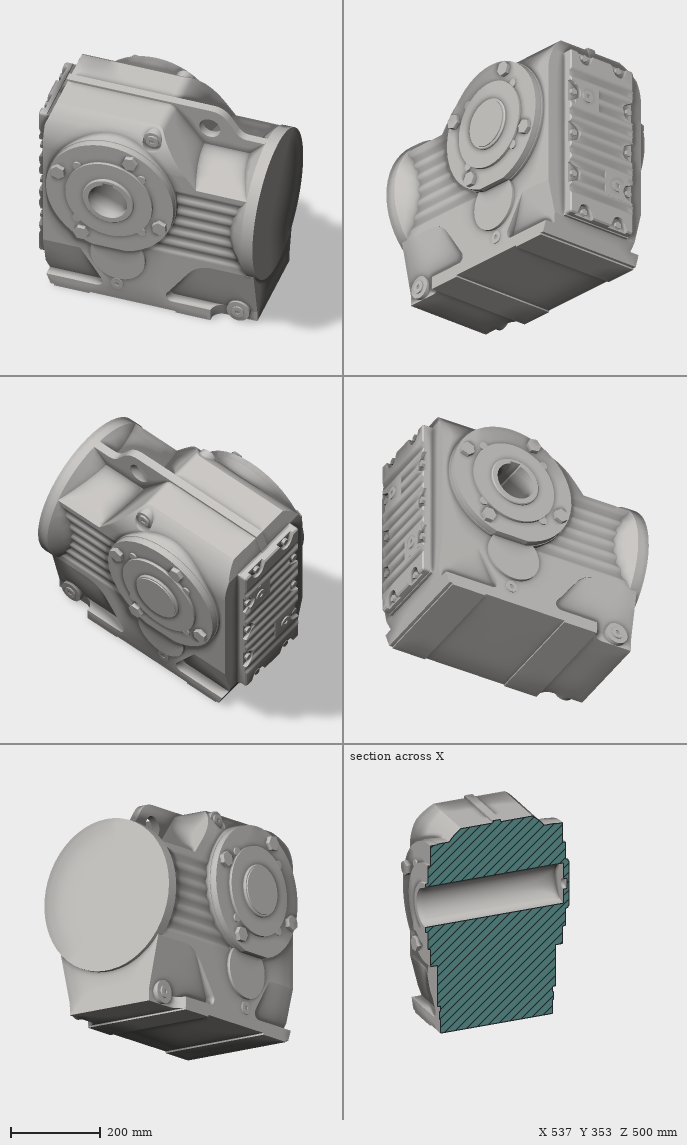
import cadquery as cq
import math


overlap = 1.0

half_width = 137.5
housing_left = -166.0
housing_top = 179.5
housing_bottom = -311.0
left_edge_top = 140.5
left_edge_bottom = -263.5
top_corner_x = -151.0
bottom_corner_x = -148.0
shoulder_top_x = 99.0
shoulder_bottom = (196.0, 56.0)
shoulder_radius = 24.0
arch_radius = 110.0
arch_start_z = 87.0
base_right = 332.0
base_top = -162.0

flange_axis_z = -52.0
flange_radius = 175.0
flange_face = 342.0
flange_back = 315.0
cone_length = 60.0
roof_crown = 87.0
roof_edge = 56.0

rib_pitch = 31.85
neck_rib_depth = 4.0
neck_rib_top = 44.0
neck_rib_count = 6
neck_rib_left = 66.0
rib_backing = 12.0

web_thickness = 20.0
web_top = 185.0
web_low = 123.0
web_left_end = -154.0
web_left_shoulder = (-168.5, 143.5)
web_crest_x = 213.0
web_crest_radius = 47.0
web_valley_x = 257.0
web_valley_radius = 31.0
eye_center = (185.0, 134.5)
eye_radius = 25.0

foot_bottom = -315.0
foot_spans = [(-140.0, -56.5), (147.0, 230.0)]
pocket_bottom = -285.0
left_pocket_depth = 24.5
right_pocket_depth = 26.5
pocket_corner_radius = 14.0
left_pocket_top = -187.0
left_pocket_top_x = -78.0
left_pocket_tip_x = -13.0
right_pocket_top_x = 199.0
right_pocket_top_radius = 70.0
right_pocket_tip_x = 112.0

collar_radius = 152.0
collar_face = 145.0
cover_radius = 150.5
collar_flat_z = -145.0
cover_face = 162.0
disc_radius = 102.5
disc_face = 169.0
stud_circle_radius = 107.5
stud_radius = 10.0
stud_face = 166.0
bolt_circle_radius = 130.0
bolt_angles = [67.5, 157.5, -22.5, 240.0]
bolt_across_corners = 35.0
bolt_face = 173.0
shaft_radius = 60.0
shaft_face = 175.0
shaft_chamfer = 2.0
bore_radius = 46.0
key_width = 25.0
key_top = 51.0
cap_radius = 55.0
cap_face = 178.0
cap_thickness = 15.0
center_hole_radius = 12.0
center_hole_depth = 8.0

blank_center = (13.0, -182.0)
blank_radius = 64.5
blank_face = 145.0
plug_radius = 14.5
plug_socket_corners = 12.0
plug_socket_depth = 3.0
upper_plug = (85.0, 153.0)
upper_boss_radius = 22.0
upper_boss_face = 113.5
upper_plug_face = 118.0
lower_plug = (10.0, -267.0)
lower_plug_face = 140.0
foot_plug = (290.0, -284.0)
foot_boss_radius = 26.5
foot_boss_face = 123.0
foot_plug_face = 126.5

gasket_left = -172.5
gear_cover_face = -192.0
gear_cover_half_width = 93.5
gasket_half_width = 92.5
gear_cover_top = 143.5
gear_cover_bottom = -261.0
gear_cover_corner = 6.0
gear_cover_chamfer = 3.5
cover_rib_depth = 5.0
cover_rib_top = 101.0
cover_rib_count = 10
lug_floor = -182.0
lug_radius = 18.0
lug_edge_distance = 11.0
lug_edge_half_width = 25.0
cover_bolt_corners = 17.0
cover_bolt_face = -189.5
end_bolt_y = 50.0
side_bolt_y = 81.0
side_bolt_rows = [41.0, -60.5, -162.0]
pad_width = 68.0
pad_height = 64.5
pad_center_y = 44.0
pad_center_rows = [38.0, -156.0]
cover_plug_face = -195.0


def y_cylinder(center, radius, y_start, y_end):
    """Cylinder along Y, centred on (x, z)."""
    plane = cq.Workplane("XZ", origin=(0, y_start, 0))
    return plane.center(*center).circle(radius).extrude(y_start - y_end)


def y_prism(outline, y_start, y_end):
    """Closed XZ polygon extruded along Y."""
    return cq.Workplane("XZ", origin=(0, y_start, 0)).polyline(outline).close().extrude(y_start - y_end)


def y_hexagon(center, corners, y_start, y_end, turn=0.0):
    """Hexagonal prism along Y with its corners turned by an angle in degrees."""
    points = []
    for i in range(6):
        angle = math.radians(turn + 60 * i)
        x = center[0] + corners / 2 * math.cos(angle)
        z = center[1] + corners / 2 * math.sin(angle)
        points.append((x, z))
    return y_prism(points, y_start, y_end)


def both_sides(shape):
    return shape.union(shape.mirror("XZ"))


def wave(sketch, crest, depth, z_top, count):
    """Continue a sketch downward from a crest along tangent arcs; depth is signed along local x."""
    quarter = rib_pitch / 4
    half = depth / 2
    radius = (quarter ** 2 + half ** 2) / abs(2 * half)
    sag = math.copysign(radius - math.sqrt(radius ** 2 - (quarter / 2) ** 2), depth)
    for i in range(count):
        z = z_top - i * rib_pitch
        sketch = (
            sketch
            .threePointArc((crest + sag, z - quarter / 2), (crest + half, z - quarter))
            .threePointArc((crest + depth, z - 2 * quarter), (crest + half, z - 3 * quarter))
            .threePointArc((crest + sag, z - 3.5 * quarter), (crest, z - 4 * quarter))
        )
    return sketch


def gear_case():
    """Arched main case with its sloped ends."""
    profile = y_prism(
        [
            (housing_left, left_edge_bottom),
            (housing_left, left_edge_top),
            (top_corner_x, housing_top),
            (shoulder_top_x, housing_top),
            shoulder_bottom,
            (shoulder_bottom[0], housing_bottom),
            (bottom_corner_x, housing_bottom),
        ],
        -half_width,
        half_width,
    )
    profile = profile.edges(
        cq.selectors.NearestToPointSelector((shoulder_top_x, 0, housing_top))
    ).fillet(shoulder_radius)
    arch_center_y = half_width - arch_radius
    rise = housing_top - arch_start_z
    top_half = arch_center_y + math.sqrt(arch_radius ** 2 - rise ** 2)
    mid_angle = math.asin(rise / arch_radius) / 2
    mid_y = arch_center_y + arch_radius * math.cos(mid_angle)
    mid_z = arch_start_z + arch_radius * math.sin(mid_angle)
    section = (
        cq.Workplane("YZ", origin=(housing_left, 0, 0))
        .moveTo(-half_width, housing_bottom)
        .lineTo(half_width, housing_bottom)
        .lineTo(half_width, arch_start_z)
        .threePointArc((mid_y, mid_z), (top_half, housing_top))
        .lineTo(-top_half, housing_top)
        .threePointArc((-mid_y, mid_z), (-half_width, arch_start_z))
        .close()
        .extrude(base_right - housing_left)
    )
    return profile.intersect(section)


def neck():
    """Input neck with a slightly domed roof, and the base block below it."""
    roofed = (
        cq.Workplane("YZ")
        .moveTo(-half_width, housing_bottom)
        .lineTo(half_width, housing_bottom)
        .lineTo(half_width, roof_edge)
        .threePointArc((0, roof_crown), (-half_width, roof_edge))
        .close()
        .extrude(flange_back)
    )
    base = y_prism(
        [(0, housing_bottom), (base_right, housing_bottom), (base_right, base_top), (0, base_top)],
        -half_width,
        half_width,
    )
    return roofed.union(base)


def neck_ribs():
    """Ribbed side layer of the neck on the +Y side."""
    inner = half_width - rib_backing
    sketch = cq.Workplane("YZ", origin=(neck_rib_left, 0, 0)).moveTo(inner, neck_rib_top)
    sketch = sketch.lineTo(half_width, neck_rib_top)
    sketch = wave(sketch, half_width, -neck_rib_depth, neck_rib_top, neck_rib_count)
    bottom = neck_rib_top - neck_rib_count * rib_pitch
    return sketch.lineTo(inner, bottom).close().extrude(flange_back - neck_rib_left)


def neck_rib_space():
    """Room cleared in the +Y side for the ribbed layer."""
    height = neck_rib_count * rib_pitch
    return cq.Workplane("XY").box(
        flange_back - neck_rib_left, rib_backing, height, centered=False
    ).translate((neck_rib_left, half_width - rib_backing, neck_rib_top - height))


def input_flange():
    """Round flange with a 45 degree cone behind it."""
    return (
        cq.Workplane("XZ")
        .polyline([
            (flange_back - cone_length, 0),
            (flange_back - cone_length, flange_radius - cone_length),
            (flange_back, flange_radius),
            (flange_face, flange_radius),
            (flange_face, 0),
        ])
        .close()
        .revolve(360, (0, 0, 0), (1, 0, 0))
        .translate((0, 0, flange_axis_z))
    )


def lifting_web():
    """Central web on top of the housing, with the lifting eye."""
    crest_corner = (web_crest_x, web_top)
    valley_corner = (web_valley_x, web_low)
    web = y_prism(
        [
            (top_corner_x, 0),
            (gasket_left, left_edge_top),
            web_left_shoulder,
            (web_left_end, web_top),
            crest_corner,
            valley_corner,
            (flange_back, web_low),
            (flange_back, 0),
        ],
        -web_thickness / 2,
        web_thickness / 2,
    )
    for corner, radius in [(crest_corner, web_crest_radius), (valley_corner, web_valley_radius)]:
        near = cq.selectors.NearestToPointSelector((corner[0], 0, corner[1]))
        web = web.edges("|Y").edges(near).fillet(radius)
    return web.cut(y_cylinder(eye_center, eye_radius, -web_thickness, web_thickness))


def feet():
    height = housing_bottom - foot_bottom + overlap
    pads = cq.Workplane("XY")
    for x_start, x_end in foot_spans:
        pads = pads.union(
            cq.Workplane("XY")
            .box(x_end - x_start, 2 * half_width, height, centered=(False, True, False))
            .translate((x_start, 0, foot_bottom))
        )
    return pads


def pocket_wedge(x_start, x_end, z_top, depth):
    """Sloped-floor wedge cut into the +Y side, deepest at its lower edge."""
    return (
        cq.Workplane("YZ", origin=(x_start, 0, 0))
        .polyline([
            (half_width, z_top),
            (half_width - depth, pocket_bottom),
            (half_width + overlap, pocket_bottom),
            (half_width + overlap, z_top),
        ])
        .close()
        .extrude(x_end - x_start)
    )


def left_pocket():
    corner = (left_pocket_tip_x, pocket_bottom)
    outline = y_prism(
        [
            (housing_left - overlap, pocket_bottom),
            (housing_left - overlap, left_pocket_top),
            (left_pocket_top_x, left_pocket_top),
            corner,
        ],
        0,
        2 * half_width,
    )
    near = cq.selectors.NearestToPointSelector((corner[0], half_width, corner[1]))
    outline = outline.edges("|Y").edges(near).fillet(pocket_corner_radius)
    return outline.intersect(pocket_wedge(housing_left - overlap, 0, left_pocket_top, left_pocket_depth))


def right_pocket():
    upper_corner = (right_pocket_top_x, base_top)
    lower_corner = (right_pocket_tip_x, pocket_bottom)
    outline = y_prism(
        [(base_right, pocket_bottom), (base_right, base_top), upper_corner, lower_corner],
        0,
        2 * half_width,
    )
    for corner, radius in [(upper_corner, right_pocket_top_radius), (lower_corner, pocket_corner_radius)]:
        near = cq.selectors.NearestToPointSelector((corner[0], half_width, corner[1]))
        outline = outline.edges("|Y").edges(near).fillet(radius)
    return outline.intersect(pocket_wedge(lower_corner[0], base_right, base_top, right_pocket_depth))


def foot_end_recess():
    """Recess of the base beyond the right foot, blended into the foot end."""
    foot_end = foot_spans[1][1]
    floor = half_width - right_pocket_depth
    recess = y_prism(
        [
            (foot_end, foot_bottom),
            (foot_end, pocket_bottom),
            (base_right, pocket_bottom),
            (base_right, foot_bottom),
        ],
        floor,
        2 * half_width,
    )
    near = cq.selectors.NearestToPointSelector((foot_end, floor, (foot_bottom + pocket_bottom) / 2))
    return recess.edges(near).fillet(right_pocket_depth)


def bearing_cover():
    """Bearing cover on the -Y side: collar, disc, studs and hexagon bolts."""
    flat_cut = cq.Workplane("XY").box(
        2 * collar_radius, 2 * cover_face, collar_radius, centered=(True, True, False)
    ).translate((0, 0, collar_flat_z - collar_radius))
    collar = y_cylinder((0, 0), collar_radius, 0, -collar_face)
    cover = collar.union(y_cylinder((0, 0), cover_radius, 0, -cover_face)).cut(flat_cut)
    cover = cover.union(y_cylinder((0, 0), disc_radius, -cover_face + overlap, -disc_face))
    for i in range(4):
        angle = math.radians(45 + 90 * i)
        center = (stud_circle_radius * math.cos(angle), stud_circle_radius * math.sin(angle))
        cover = cover.union(y_cylinder(center, stud_radius, -cover_face + overlap, -stud_face))
    for degrees in bolt_angles:
        angle = math.radians(degrees)
        center = (bolt_circle_radius * math.cos(angle), bolt_circle_radius * math.sin(angle))
        bolt = y_hexagon(center, bolt_across_corners, -cover_face + overlap, -bolt_face, degrees)
        cover = cover.union(bolt)
    return cover


def hollow_shaft():
    shaft = y_cylinder((0, 0), shaft_radius, -shaft_face, shaft_face)
    shaft = shaft.faces("<Y or >Y").chamfer(shaft_chamfer)
    return shaft.union(y_cylinder((0, 0), cap_radius, 0, cap_face))


def shaft_bore():
    """Keyed bore, closed at +Y by a cap with a blind centre hole."""
    floor = cap_face - cap_thickness
    keyway = y_prism(
        [(-key_width / 2, 0), (-key_width / 2, key_top), (key_width / 2, key_top), (key_width / 2, 0)],
        -shaft_face,
        floor,
    )
    bore = y_cylinder((0, 0), bore_radius, -shaft_face, floor).union(keyway)
    return bore.union(y_cylinder((0, 0), center_hole_radius, 0, floor + center_hole_depth))


def oil_plug(center, radius, y_root, y_face):
    """Round plug on the +Y side with a hexagon socket."""
    plug = y_cylinder(center, radius, y_root, y_face)
    return plug.cut(y_hexagon(center, plug_socket_corners, y_face - plug_socket_depth, y_face, 90))


def gear_cover():
    """Ribbed cover plate with chamfered rim, on a plain gasket flange."""
    sketch = (
        cq.Workplane("XZ", origin=(0, gear_cover_half_width, 0))
        .moveTo(gasket_left, gear_cover_top)
        .lineTo(gear_cover_face, gear_cover_top)
        .lineTo(gear_cover_face, cover_rib_top)
    )
    sketch = wave(sketch, gear_cover_face, cover_rib_depth, cover_rib_top, cover_rib_count)
    ribbed = (
        sketch
        .lineTo(gear_cover_face, gear_cover_bottom)
        .lineTo(gasket_left, gear_cover_bottom)
        .close()
        .extrude(2 * gear_cover_half_width)
    )
    height = gear_cover_top - gear_cover_bottom
    envelope = (
        cq.Workplane("XY")
        .box(gasket_left - gear_cover_face, 2 * gear_cover_half_width, height, centered=(False, True, False))
        .translate((gear_cover_face, 0, gear_cover_bottom))
        .edges("|X").fillet(gear_cover_corner)
        .faces("<X").chamfer(gear_cover_chamfer)
    )
    gasket = (
        cq.Workplane("XY")
        .box(
            housing_left - gasket_left,
            2 * gasket_half_width,
            left_edge_top - left_edge_bottom,
            centered=(False, True, False),
        )
        .translate((gasket_left, 0, left_edge_bottom))
    )
    cover = ribbed.intersect(envelope).union(gasket)
    for side, row in zip((1, -1), pad_center_rows):
        pad = (
            cq.Workplane("XY")
            .box(lug_floor - gear_cover_face, pad_width, pad_height, centered=(False, True, True))
            .translate((gear_cover_face, side * pad_center_y, row))
        )
        cover = cover.union(pad)
    for y, z, turn in cover_bolts():
        cover = cover.cut(lug_recess(y, z, turn)).union(cover_bolt(y, z))
    for side, row in zip((1, -1), pad_center_rows):
        cover = cover.union(cover_plug(side * pad_center_y, row))
    return cover


def cover_bolts():
    """Bolt places as (y, z, direction of the nearest cover edge in degrees)."""
    places = []
    for side in (1, -1):
        places.append((side * end_bolt_y, gear_cover_top - lug_edge_distance, 90))
        places.append((side * end_bolt_y, gear_cover_bottom + lug_edge_distance, -90))
        for row in side_bolt_rows:
            places.append((side * side_bolt_y, row, 0 if side > 0 else 180))
    return places


def lug_recess(y, z, turn):
    """Flared recess around a cover bolt, open toward the cover edge."""
    reach = math.hypot(lug_edge_distance, lug_edge_half_width)
    tangent = math.atan2(lug_edge_half_width, lug_edge_distance) + math.acos(lug_radius / reach)
    tangent_x = lug_radius * math.cos(tangent)
    tangent_y = lug_radius * math.sin(tangent)
    outer = lug_edge_distance + gear_cover_chamfer
    return (
        cq.Workplane("YZ")
        .moveTo(outer, lug_edge_half_width)
        .lineTo(lug_edge_distance, lug_edge_half_width)
        .lineTo(tangent_x, tangent_y)
        .threePointArc((-lug_radius, 0), (tangent_x, -tangent_y))
        .lineTo(lug_edge_distance, -lug_edge_half_width)
        .lineTo(outer, -lug_edge_half_width)
        .close()
        .extrude(gear_cover_face - lug_floor)
        .rotate((0, 0, 0), (1, 0, 0), turn)
        .translate((lug_floor, y, z))
    )


def cover_bolt(y, z):
    return (
        cq.Workplane("YZ", origin=(lug_floor + overlap, y, z))
        .transformed(rotate=(0, 0, 90))
        .polygon(6, cover_bolt_corners)
        .extrude(cover_bolt_face - lug_floor - overlap)
    )


def cover_plug(y, z):
    plane = cq.Workplane("YZ", origin=(cover_plug_face, y, z))
    plug = plane.circle(plug_radius).extrude(gear_cover_face - cover_plug_face + overlap)
    socket = plane.transformed(rotate=(0, 0, 90)).polygon(6, plug_socket_corners).extrude(plug_socket_depth)
    return plug.cut(socket)


housing = gear_case().union(neck())
housing = housing.cut(both_sides(left_pocket()))
housing = housing.cut(both_sides(right_pocket()))
housing = housing.cut(both_sides(foot_end_recess()))
housing = housing.cut(both_sides(neck_rib_space()))
housing = housing.union(both_sides(neck_ribs()))
housing = housing.union(input_flange()).union(lifting_web()).union(feet())

housing = housing.union(y_cylinder(blank_center, blank_radius, -blank_face, blank_face))
upper_spot_face = y_cylinder(upper_plug, upper_boss_radius, upper_boss_face, 2 * half_width)
housing = housing.cut(both_sides(upper_spot_face))
housing = housing.union(y_cylinder(upper_plug, upper_boss_radius, -upper_boss_face, upper_boss_face))
housing = housing.union(y_cylinder(foot_plug, foot_boss_radius, -foot_boss_face, foot_boss_face))
plug_seats = [
    (upper_plug, upper_boss_face, upper_plug_face),
    (lower_plug, half_width, lower_plug_face),
    (foot_plug, foot_boss_face, foot_plug_face),
]
for place, seat, face in plug_seats:
    housing = housing.union(both_sides(oil_plug(place, plug_radius, seat - overlap, face)))

front_cover = bearing_cover()
rear_cover = front_cover.rotate((0, 0, 0), (0, 0, 1), 180)
result = housing.union(front_cover).union(rear_cover).union(hollow_shaft()).cut(shaft_bore())
result = result.union(gear_cover())